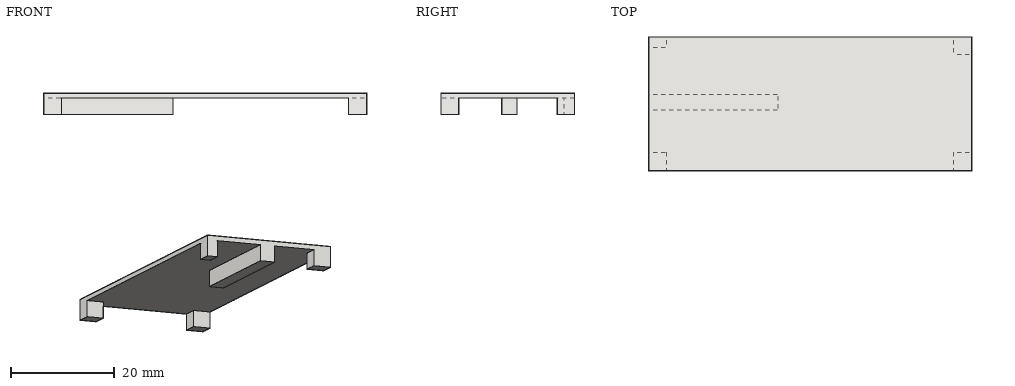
import cadquery as cq

length = 62.25
width = 25.8
height = 4.1

plate_thickness = 0.95
leg_height = height - plate_thickness

front_left_leg = (3.4, 3.5)
front_right_leg = (3.55, 3.5)
back_left_leg = (3.4, 2.05)
back_right_leg = (3.55, 3.35)

rib_length = 24.95
rib_width = 3.0
rib_center_y = 0.3

left_x = -length / 2
bottom_z = -height / 2


def corner_leg(side_x, side_y, size):
    """Block flush with the plate corner given by the signs side_x and side_y."""
    size_x, size_y = size
    center_x = side_x * (length - size_x) / 2
    center_y = side_y * (width - size_y) / 2
    return (
        cq.Workplane("XY", origin=(center_x, center_y, bottom_z))
        .rect(size_x, size_y)
        .extrude(height)
    )


plate = cq.Workplane("XY").box(length, width, plate_thickness).translate((0, 0, leg_height / 2))

rib = (
    cq.Workplane("XY", origin=(left_x + rib_length / 2, rib_center_y, bottom_z))
    .rect(rib_length, rib_width)
    .extrude(height)
)

result = plate.union(rib)
for side_x, side_y, size in (
    (-1, -1, front_left_leg),
    (1, -1, front_right_leg),
    (-1, 1, back_left_leg),
    (1, 1, back_right_leg),
):
    result = result.union(corner_leg(side_x, side_y, size))
result = result.clean()